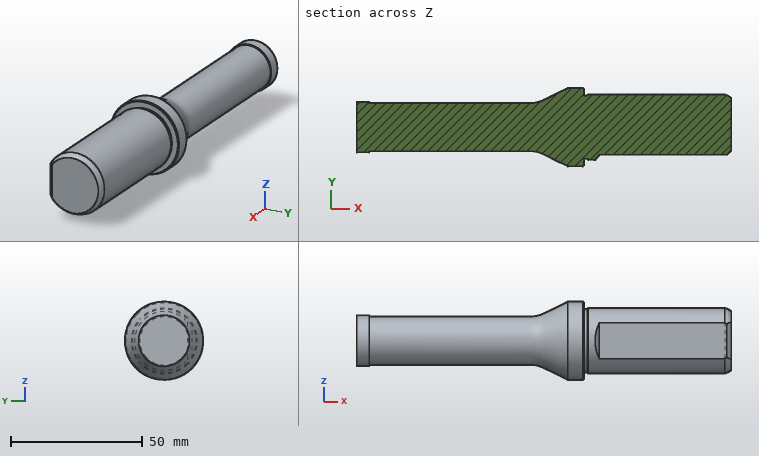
import cadquery as cq
import math

length = 142.6
head_radius = 9.7
head_length = 4.8
neck_radius = 9.3
flare_start = 66.3
cone_start = 71.0
cone_angle = 26.0
collar_start = 80.4
collar_end = 86.5
collar_radius = 15.0
collar_chamfer = 0.4
groove_radius = 12.1
shank_start = 87.7
shank_radius = 12.5
shank_chamfer = 0.4
end_taper_length = 1.3
end_taper_depth = 0.4
end_chamfer_length = 1.3
end_chamfer_depth = 0.9

flat_distance = 10.5
flat_start = 92.4
flat_ramp_angle = 50.0
flat_end_length = 1.7
flat_end_depth = 1.7


def flare_points():
    """Middle and end of the arc that is tangent to the neck and ends at the cone angle."""
    run = cone_start - flare_start
    angle = math.radians(cone_angle)
    arc_radius = run / math.sin(angle)

    def on_arc(turn):
        return (
            flare_start + arc_radius * math.sin(turn),
            neck_radius + arc_radius * (1 - math.cos(turn)),
        )

    return on_arc(angle / 2), on_arc(angle)


def turned_body():
    flare_middle, flare_end = flare_points()
    taper_end = length - end_chamfer_length
    taper_radius = shank_radius - end_taper_depth
    return (
        cq.Workplane("XY")
        .moveTo(0, 0)
        .lineTo(0, head_radius)
        .lineTo(head_length, head_radius)
        .lineTo(head_length, neck_radius)
        .lineTo(flare_start, neck_radius)
        .threePointArc(flare_middle, flare_end)
        .lineTo(collar_start, collar_radius)
        .lineTo(collar_end - collar_chamfer, collar_radius)
        .lineTo(collar_end, collar_radius - collar_chamfer)
        .lineTo(collar_end, groove_radius)
        .lineTo(shank_start, groove_radius)
        .lineTo(shank_start + shank_chamfer, shank_radius)
        .lineTo(taper_end - end_taper_length, shank_radius)
        .lineTo(taper_end, taper_radius)
        .lineTo(length, taper_radius - end_chamfer_depth)
        .lineTo(length, 0)
        .close()
        .revolve(360, (0, 0, 0), (1, 0, 0))
    )


def flat_cutter():
    """Material outside the clamping flat, with its sloped run-out and end bevel."""
    depth = collar_radius - flat_distance
    ramp_length = depth / math.tan(math.radians(flat_ramp_angle))
    return (
        cq.Workplane("XY")
        .moveTo(flat_start, -flat_distance)
        .lineTo(length - flat_end_length, -flat_distance)
        .lineTo(length, -flat_distance + flat_end_depth)
        .lineTo(length, -collar_radius)
        .lineTo(flat_start - ramp_length, -collar_radius)
        .close()
        .extrude(collar_radius, both=True)
    )


result = turned_body().cut(flat_cutter())